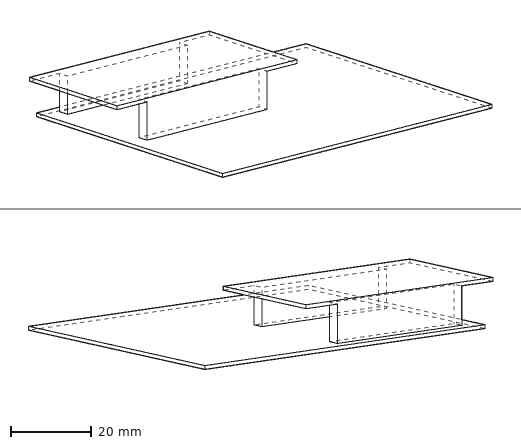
import cadquery as cq

base_width = 70.0
total_length = 95.0
total_height = 12.0

wall_height = 10.0
wall_thickness = 3.0
wall_length = 40.0
shelf_width = 33.0
shelf_length = 60.0
shelf_overhang = 5.0
shelf_inset = wall_thickness

sheet_thickness = (total_height - wall_height) / 2
base_length = total_length - shelf_overhang
wall_setback = (shelf_length - wall_length) / 2


def block(size, corner):
    """Box with its lowest X, Y, Z corner at the given point."""
    return cq.Workplane("XY").box(*size, centered=False).translate(corner)


result = block((base_width, base_length, sheet_thickness), (0, 0, 0))

right_wall_x = shelf_inset + shelf_width - wall_thickness
wall_y = wall_setback - shelf_overhang
for wall_x in (shelf_inset, right_wall_x):
    wall = block((wall_thickness, wall_length, wall_height), (wall_x, wall_y, sheet_thickness))
    result = result.union(wall)

shelf_z = sheet_thickness + wall_height
shelf = block((shelf_width, shelf_length, sheet_thickness), (shelf_inset, -shelf_overhang, shelf_z))
result = result.union(shelf)